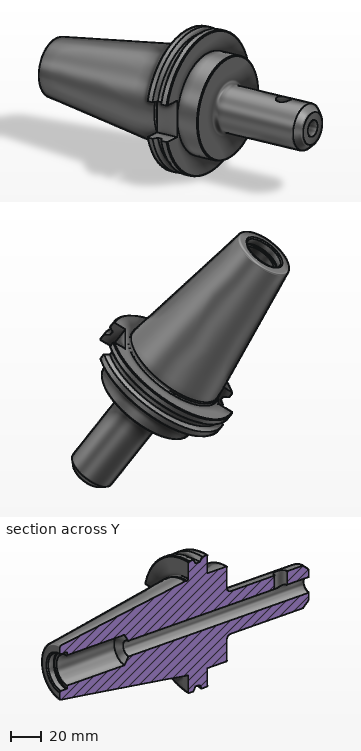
import cadquery as cq
import math

overall_length = 203.2
taper_length = 102.2
relief_start = 103.2
flange_start = 104.9
flange_end = 120.7
collar_end = 136.5

taper_radius = 70.0 / 2
taper_rate = 7 / 48
relief_radius = 34.8
flange_radius = 48.5
collar_radius = 70.1 / 2
shank_radius = 31.7 / 2

nose_fillet = 1.8
relief_fillet = 1.0
flange_chamfer = 0.6
collar_chamfer = 0.6
shank_root_fillet = 3.3
shank_chamfer_length = 4.7
shank_edge_land = 1.2
shank_edge_step = 0.2
end_face_radius = 22.0 / 2
end_bevel_length = 0.8
end_bevel_radius = 12.2

groove_centre = 112.5
groove_floor_width = 3.0
groove_depth = 3.3
groove_wall_angle = 30.0
groove_wall_run = groove_depth * math.tan(math.radians(groove_wall_angle))

slot_width = 25.2
slot_floor_front = 35.4
slot_floor_back = 37.5

mouth_radius = 14.2
counterbore_radius = 26.6 / 2
counterbore_depth = 5.9
counterbore_floor_radius = 26.2 / 2
counterbore_taper_length = 0.6
thread_radius = 22.0 / 2
thread_depth = 52.8
drill_point_angle = 118.0
coolant_radius = 11.2 / 2

cross_hole_diameter = 10.0
cross_hole_x = 180.3


def make_body():
    """Revolve the outside profile about the X axis."""
    nose_edge_radius = taper_radius - (taper_length - nose_fillet) * taper_rate
    chamfer_start = overall_length - shank_chamfer_length
    chamfer_radius = shank_radius - shank_edge_step
    profile = (
        cq.Workplane("XY")
        .lineTo(0, nose_edge_radius - nose_fillet)
        .radiusArc((nose_fillet, nose_edge_radius), nose_fillet)
        .lineTo(taper_length, taper_radius)
        .lineTo(relief_start, relief_radius)
        .lineTo(flange_start - relief_fillet, relief_radius)
        .radiusArc((flange_start, relief_radius + relief_fillet), -relief_fillet)
        .lineTo(flange_start, flange_radius - flange_chamfer)
        .lineTo(flange_start + flange_chamfer, flange_radius)
        .lineTo(flange_end - flange_chamfer, flange_radius)
        .lineTo(flange_end, flange_radius - flange_chamfer)
        .lineTo(flange_end, collar_radius)
        .lineTo(collar_end - collar_chamfer, collar_radius)
        .lineTo(collar_end, collar_radius - collar_chamfer)
        .lineTo(collar_end, shank_radius + shank_root_fillet)
        .radiusArc((collar_end + shank_root_fillet, shank_radius), -shank_root_fillet)
        .lineTo(chamfer_start - shank_edge_land, shank_radius)
        .lineTo(chamfer_start, chamfer_radius)
        .lineTo(overall_length - end_bevel_length, end_bevel_radius)
        .lineTo(overall_length, end_face_radius)
        .lineTo(overall_length, 0)
        .close()
    )
    return profile.revolve(360, (0, 0, 0), (1, 0, 0))


def make_gripper_groove():
    """V-walled ring removed from the rim of the flange."""
    floor_half = groove_floor_width / 2
    mouth_half = floor_half + groove_wall_run
    floor_radius = flange_radius - groove_depth
    profile = (
        cq.Workplane("XY")
        .moveTo(groove_centre - mouth_half, flange_radius)
        .lineTo(groove_centre - floor_half, floor_radius)
        .lineTo(groove_centre + floor_half, floor_radius)
        .lineTo(groove_centre + mouth_half, flange_radius)
        .close()
    )
    return profile.revolve(360, (0, 0, 0), (1, 0, 0))


def make_driving_slot(side, floor_distance):
    """Flat-floored slot across the flange; side is -1 or 1 along Y."""
    depth = flange_radius - floor_distance
    return cq.Workplane("XY").box(flange_end - flange_start, depth, slot_width).translate(
        ((flange_start + flange_end) / 2, side * (floor_distance + depth / 2), 0)
    )


def make_bore():
    """Stepped bore with a drill point, continuing as a through hole."""
    mouth_chamfer = mouth_radius - counterbore_radius
    point_length = (thread_radius - coolant_radius) / math.tan(math.radians(drill_point_angle / 2))
    profile = (
        cq.Workplane("XY")
        .lineTo(0, mouth_radius)
        .lineTo(mouth_chamfer, counterbore_radius)
        .lineTo(counterbore_depth - counterbore_taper_length, counterbore_radius)
        .lineTo(counterbore_depth, counterbore_floor_radius)
        .lineTo(counterbore_depth, thread_radius)
        .lineTo(thread_depth, thread_radius)
        .lineTo(thread_depth + point_length, coolant_radius)
        .lineTo(overall_length, coolant_radius)
        .lineTo(overall_length, 0)
        .close()
    )
    return profile.revolve(360, (0, 0, 0), (1, 0, 0))


def make_cross_hole():
    """Radial hole from the top of the shank into the central bore."""
    return (
        cq.Workplane("XY")
        .center(cross_hole_x, 0)
        .circle(cross_hole_diameter / 2)
        .extrude(shank_radius)
    )


result = (
    make_body()
    .cut(make_gripper_groove())
    .cut(make_driving_slot(-1, slot_floor_front))
    .cut(make_driving_slot(1, slot_floor_back))
    .cut(make_bore())
    .cut(make_cross_hole())
)